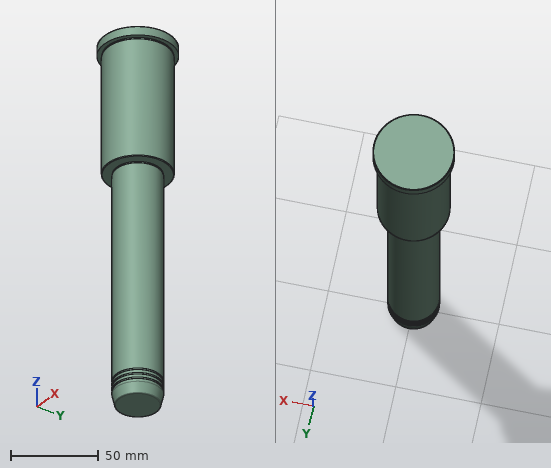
import cadquery as cq

total_length = 241.0

head_diameter = 47.0
head_height = 6.0
head_chamfer = 0.5

sleeve_diameter = 42.0
sleeve_bottom = 155.2
sleeve_chamfer = 0.5

relief_width = 1.0
relief_depth = 0.2

shaft_diameter = 30.0
tip_diameter = 26.5
lead_length = 7.0
tip_fillet = 0.5

groove_count = 3
groove_radius = 0.5
lowest_groove_height = 9.5
highest_groove_height = 15.5
groove_pitch = (highest_groove_height - lowest_groove_height) / (groove_count - 1)


def cylinder(diameter, bottom, top):
    """Solid cylinder on the Z axis between two heights."""
    return cq.Workplane("XY").workplane(offset=bottom).circle(diameter / 2).extrude(top - bottom)


def relief_ring(diameter, shoulder):
    """Ring that cuts the undercut into a cylinder just below a shoulder."""
    bottom = shoulder - relief_width
    core = cylinder(diameter - 2 * relief_depth, bottom, shoulder)
    return cylinder(diameter, bottom, shoulder).cut(core)


def groove_ring(height):
    """Torus centred on the shaft surface that cuts one half-round groove."""
    center = cq.Vector(0, 0, height)
    axis = cq.Vector(0, 0, 1)
    return cq.Workplane(cq.Solid.makeTorus(shaft_diameter / 2, groove_radius, center, axis))


def lead_in():
    """Cone that narrows from the shaft to a tip with a rounded edge."""
    shaft_radius = shaft_diameter / 2
    tip_radius = tip_diameter / 2
    cone = cq.Workplane(cq.Solid.makeCone(tip_radius, shaft_radius, lead_length))
    return cone.faces("<Z").edges().fillet(tip_fillet)


head_bottom = total_length - head_height

head = cylinder(head_diameter, head_bottom, total_length).faces(">Z").edges().chamfer(head_chamfer)
sleeve = cylinder(sleeve_diameter, sleeve_bottom, head_bottom).faces("<Z").edges().chamfer(sleeve_chamfer)
shaft = cylinder(shaft_diameter, lead_length, sleeve_bottom)

result = head.union(sleeve).union(shaft).union(lead_in())

result = result.cut(relief_ring(sleeve_diameter, head_bottom))
result = result.cut(relief_ring(shaft_diameter, sleeve_bottom))

for index in range(groove_count):
    result = result.cut(groove_ring(lowest_groove_height + index * groove_pitch))